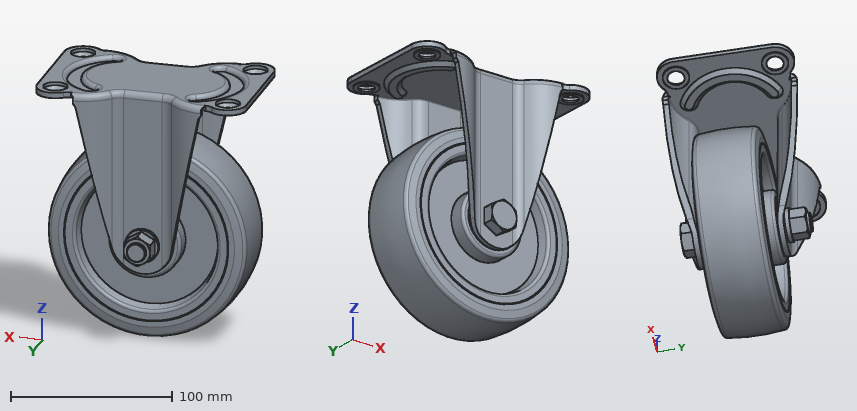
import cadquery as cq
import math


PLATE_LENGTH = 135.0
PLATE_WIDTH = 86.1
OVERALL_HEIGHT = 165
SHEET = 3.6
AXLE_DROP = 100.0
WHEEL_RADIUS = OVERALL_HEIGHT - AXLE_DROP

EAR_RADIUS = 11.9
EAR_X = PLATE_LENGTH / 2 - EAR_RADIUS
EAR_Y = PLATE_WIDTH / 2 - EAR_RADIUS
NECK_Y = 38.6
NECK_FILLET = 7.0
PLATE_ROOT_X = 33.0
PLATE_ROOT_Y = 33.0

HOLE_RADIUS = 5.3
DIMPLE_RADIUS = 7.6
DIMPLE_WALL = 2.1
DIMPLE_DEPTH = 4.6
DIMPLE_COLLAR_RADIUS = 8.2

GROOVE_CENTRE_X = 21.6
GROOVE_ARC_RADIUS = 29.7
GROOVE_HALF_ANGLE = 64.5
GROOVE_WIDTH = 8.5
GROOVE_DEPTH = 3.3
GROOVE_LIP_ROUND = 3.1
BEAD_WIDTH = 10.9
BEAD_HEIGHT = 2.8
BEAD_SLOPE = 45
BLANK_MARGIN = 0.8

LEG_INNER_Y = 25.0
LEG_OUTER_Y = LEG_INNER_Y + SHEET
LEG_FLAT_X = 12.4
LEG_HOLLOW_RADIUS = 9.0
LEG_WING_RADIUS = 32.3
LEG_BEND_ANGLE = math.radians(48)
LEG_END_RADIUS = 19.1
LEG_TAPER = math.radians(12.3)
LEG_TOP_BEND = 4.1
SHOULDER_X = 41.2
SHOULDER_FLARE = 2.1
SHOULDER_BOTTOM = 6.0
TAPER_TOP = 8.2

TYRE_HALF_WIDTH = 21.0
TREAD_HALF_WIDTH = 17.3
TREAD_EDGE_RADIUS = 63.9
SHOULDER_ROUND_Y = 19.8
SHOULDER_ROUND_RADIUS = 61.9
SHOULDER_ROUND = 2.6
SIDEWALL_RADIUS = 56.8
SEAM_GROOVE_RADIUS = 52.8
SEAM_GROOVE_WIDTH = 0.7
SEAM_GROOVE_DEPTH = 0.3
RIM_FILLET = 2.0
RIM_INNER_RADIUS = 45.7
WEB_OUTER_RADIUS = 44.0
WEB_HALF_WIDTH = 13.2
HUB_RADIUS = 23.3
HUB_HALF_WIDTH = 24.6
HUB_PAD_RADIUS = 18.8
HUB_FILLET = 2.0

BOLT_RADIUS = 6.1
BOLT_TIP_Y = 44.0
BOLT_TIP_CHAMFER = 0.5
HEAD_ACROSS_FLATS = 19.0
HEAD_HEIGHT = 8.2
WASHER_RADIUS = 10.7
WASHER_THICKNESS = 2.8
NUT_ACROSS_FLATS = 17.0
NUT_HEIGHT = 10.4
HEX_CHAMFER_SLOPE = math.radians(30)


def y_cylinder(radius, y_start, y_end):
    """Cylinder on the axle line between two Y positions."""
    origin = (0, y_start, -AXLE_DROP)
    return cq.Workplane("XZ", origin=origin).circle(radius).extrude(y_start - y_end)



def leg_plan(inset, bottom, top):
    """Waisted plan of the two legs, shrunk by inset, as a solid block between two heights."""
    hollow_radius = LEG_HOLLOW_RADIUS + inset
    wing_radius = LEG_WING_RADIUS - inset
    hollow_y = LEG_OUTER_Y + LEG_HOLLOW_RADIUS
    centre_distance = LEG_HOLLOW_RADIUS + LEG_WING_RADIUS
    wing_x = LEG_FLAT_X + centre_distance * math.sin(LEG_BEND_ANGLE)
    wing_y = hollow_y - centre_distance * math.cos(LEG_BEND_ANGLE)

    def on_hollow(angle):
        return (LEG_FLAT_X + hollow_radius * math.sin(angle), hollow_y - hollow_radius * math.cos(angle))

    def on_wing(angle):
        return (wing_x - wing_radius * math.sin(angle), wing_y + wing_radius * math.cos(angle))

    quarter = (
        cq.Workplane("XY", origin=(0, 0, bottom))
        .moveTo(0, 0)
        .lineTo(0, LEG_OUTER_Y - inset)
        .lineTo(*on_hollow(0))
        .threePointArc(on_hollow(LEG_BEND_ANGLE / 2), on_hollow(LEG_BEND_ANGLE))
        .threePointArc(on_wing(LEG_BEND_ANGLE / 2), on_wing(0))
        .lineTo(wing_x, 0)
        .close()
        .extrude(top - bottom)
    )
    half = quarter.union(quarter.mirror("YZ"))
    return half.union(half.mirror("XZ")).clean()


def leg_silhouette():
    """Front outline of the legs: flared shoulders, straight taper, round end about the axle."""
    tangent_x = LEG_END_RADIUS * math.cos(LEG_TAPER)
    tangent_z = -AXLE_DROP - LEG_END_RADIUS * math.sin(LEG_TAPER)
    taper_top_x = tangent_x + (-TAPER_TOP - tangent_z) * math.tan(LEG_TAPER)
    right_side = [
        (tangent_x, tangent_z),
        (taper_top_x, -TAPER_TOP),
        (SHOULDER_X, -SHOULDER_BOTTOM),
        (SHOULDER_X, -SHOULDER_FLARE),
        (SHOULDER_X + SHOULDER_FLARE, 0),
    ]
    left_side = [(-x, z) for x, z in reversed(right_side)]
    return (
        cq.Workplane("XZ")
        .polyline(right_side + left_side)
        .threePointArc((0, -AXLE_DROP - LEG_END_RADIUS), right_side[0])
        .close()
        .extrude(PLATE_WIDTH / 2, both=True)
    )


def legs():
    """Both legs and the flat bridge between them, bent from one sheet."""
    bottom = -AXLE_DROP - LEG_END_RADIUS
    outside = leg_plan(0, bottom, 0)
    outside = outside.faces(">Z").edges("not(<X or >X)").fillet(LEG_TOP_BEND)
    inside = leg_plan(SHEET, bottom, -SHEET)
    inside = inside.faces(">Z").edges("not(<X or >X)").fillet(LEG_TOP_BEND - SHEET)
    return outside.cut(inside).intersect(leg_silhouette())


def end_plate():
    """Plate at the +X end with two round ears blended into a narrower neck."""
    fillet_y = NECK_Y + NECK_FILLET
    reach = EAR_RADIUS + NECK_FILLET
    fillet_x = EAR_X - math.sqrt(reach ** 2 - (fillet_y - EAR_Y) ** 2)
    touch_x = EAR_X + (fillet_x - EAR_X) * EAR_RADIUS / reach
    touch_y = EAR_Y + (fillet_y - EAR_Y) * EAR_RADIUS / reach
    diagonal = EAR_RADIUS / math.sqrt(2)
    half = (
        cq.Workplane("XY")
        .moveTo(PLATE_ROOT_X, 0)
        .lineTo(PLATE_ROOT_X, PLATE_ROOT_Y)
        .lineTo(fillet_x, NECK_Y)
        .radiusArc((touch_x, touch_y), -NECK_FILLET)
        .threePointArc((EAR_X + diagonal, EAR_Y + diagonal), (EAR_X + EAR_RADIUS, EAR_Y))
        .lineTo(EAR_X + EAR_RADIUS, 0)
        .close()
        .extrude(-SHEET)
    )
    return half.union(half.mirror("XZ"))


def groove_shape(width, z):
    """Outline of the curved slot at the +X end at height z."""
    half_angle = math.radians(GROOVE_HALF_ANGLE)

    def polar(radius, angle):
        return (GROOVE_CENTRE_X + radius * math.cos(angle), radius * math.sin(angle))

    outer = GROOVE_ARC_RADIUS + width / 2
    inner = GROOVE_ARC_RADIUS - width / 2
    cap_radius = width / 2
    start_cap = polar(GROOVE_ARC_RADIUS, -half_angle)
    end_cap = polar(GROOVE_ARC_RADIUS, half_angle)
    start_tip = (
        start_cap[0] - cap_radius * math.sin(half_angle),
        start_cap[1] - cap_radius * math.cos(half_angle),
    )
    end_tip = (start_tip[0], -start_tip[1])
    return (
        cq.Workplane("XY", origin=(0, 0, z))
        .moveTo(*polar(outer, -half_angle))
        .threePointArc(polar(outer, 0), polar(outer, half_angle))
        .threePointArc(end_tip, polar(inner, half_angle))
        .threePointArc(polar(inner, 0), polar(inner, -half_angle))
        .threePointArc(start_tip, polar(outer, -half_angle))
        .close()
    )


def groove_cutter():
    """Slot with a rounded lip, made as what is left of a blank around a lipped slab."""
    reach = GROOVE_WIDTH / 2 + GROOVE_LIP_ROUND + BLANK_MARGIN
    blank = groove_shape(2 * reach, 0).extrude(-GROOVE_DEPTH)
    slot = groove_shape(GROOVE_WIDTH, 0).extrude(-GROOVE_DEPTH)
    outer_lip = GROOVE_CENTRE_X + GROOVE_ARC_RADIUS + GROOVE_WIDTH / 2
    lip_start = GROOVE_CENTRE_X + GROOVE_ARC_RADIUS * math.cos(math.radians(GROOVE_HALF_ANGLE))
    lip_region = cq.selectors.BoxSelector(
        (lip_start, -outer_lip, -BLANK_MARGIN),
        (outer_lip + BLANK_MARGIN, outer_lip, BLANK_MARGIN),
        boundingbox=True,
    )
    lipped_slab = blank.cut(slot).edges(lip_region).fillet(GROOVE_LIP_ROUND)
    return blank.cut(lipped_slab)


def press_grooves(body):
    """Press both grooves: a sloped bead below the sheet and a round-lipped slot in its top."""
    bead = groove_shape(BEAD_WIDTH, -SHEET).extrude(-BEAD_HEIGHT, taper=BEAD_SLOPE)
    slot = groove_cutter()
    body = body.union(bead).union(bead.mirror("YZ"))
    return body.cut(slot).cut(slot.mirror("YZ"))


def dimple_hole():
    """Cutter for one screw hole: straight recess over a cone that opens below the collar."""
    profile = [
        (0, 0),
        (DIMPLE_RADIUS, 0),
        (DIMPLE_RADIUS, -DIMPLE_WALL),
        (HOLE_RADIUS, -DIMPLE_DEPTH),
        (0, -DIMPLE_DEPTH),
    ]
    return cq.Workplane("XZ").polyline(profile).close().revolve(360, (0, 0, 0), (0, 1, 0))


def make_bracket():
    body = legs()
    plate = end_plate()
    body = body.union(plate).union(plate.mirror("YZ"))
    body = press_grooves(body)

    ears = [(sx * EAR_X, sy * EAR_Y) for sx in (-1, 1) for sy in (-1, 1)]
    for x, y in ears:
        collar = cq.Workplane("XY", origin=(x, y, -SHEET)).circle(DIMPLE_COLLAR_RADIUS)
        body = body.union(collar.extrude(SHEET - DIMPLE_DEPTH))
        body = body.cut(dimple_hole().translate((x, y, 0)))
    return body.cut(y_cylinder(BOLT_RADIUS, -LEG_OUTER_Y, LEG_OUTER_Y))



def make_wheel():
    """Crowned tyre, dished web and hub, revolved about the axle."""
    groove_outer = SEAM_GROOVE_RADIUS + SEAM_GROOVE_WIDTH / 2
    groove_inner = SEAM_GROOVE_RADIUS - SEAM_GROOVE_WIDTH / 2
    groove_y = TYRE_HALF_WIDTH - SEAM_GROOVE_DEPTH
    half_profile = (
        cq.Workplane("XY")
        .moveTo(BOLT_RADIUS, 0)
        .lineTo(BOLT_RADIUS, LEG_INNER_Y)
        .lineTo(HUB_PAD_RADIUS, LEG_INNER_Y)
        .lineTo(HUB_PAD_RADIUS, HUB_HALF_WIDTH)
        .lineTo(HUB_RADIUS - HUB_FILLET, HUB_HALF_WIDTH)
        .radiusArc((HUB_RADIUS, HUB_HALF_WIDTH - HUB_FILLET), HUB_FILLET)
        .lineTo(HUB_RADIUS, WEB_HALF_WIDTH)
        .lineTo(WEB_OUTER_RADIUS, WEB_HALF_WIDTH)
        .lineTo(RIM_INNER_RADIUS, TYRE_HALF_WIDTH - RIM_FILLET)
        .radiusArc((RIM_INNER_RADIUS + RIM_FILLET, TYRE_HALF_WIDTH), RIM_FILLET)
        .lineTo(groove_inner, TYRE_HALF_WIDTH)
        .lineTo(SEAM_GROOVE_RADIUS, groove_y)
        .lineTo(groove_outer, TYRE_HALF_WIDTH)
        .lineTo(SIDEWALL_RADIUS, TYRE_HALF_WIDTH)
        .lineTo(SHOULDER_ROUND_RADIUS, SHOULDER_ROUND_Y)
        .radiusArc((TREAD_EDGE_RADIUS, TREAD_HALF_WIDTH), SHOULDER_ROUND)
        .lineTo(TREAD_EDGE_RADIUS, 0)
        .close()
    )
    crown_profile = (
        cq.Workplane("XY")
        .moveTo(TREAD_EDGE_RADIUS, -TREAD_HALF_WIDTH)
        .threePointArc((WHEEL_RADIUS, 0), (TREAD_EDGE_RADIUS, TREAD_HALF_WIDTH))
        .close()
    )
    half = half_profile.revolve(360, (0, 0, 0), (0, 1, 0))
    crown = crown_profile.revolve(360, (0, 0, 0), (0, 1, 0))
    return half.union(half.mirror("XZ")).union(crown).translate((0, 0, -AXLE_DROP))



def hexagon(across_flats, y_start, y_end):
    """Hexagon on the axle with two upright flats; corners are chamfered at y_end."""
    corner_radius = across_flats / math.sqrt(3)
    flat_radius = across_flats / 2
    height = abs(y_end - y_start)
    chamfer = (corner_radius - flat_radius) * math.tan(HEX_CHAMFER_SLOPE)
    prism = (
        cq.Workplane("XY")
        .transformed(rotate=(0, 0, 90))
        .polygon(6, 2 * corner_radius)
        .extrude(height)
    )
    profile = [
        (0, 0),
        (corner_radius, 0),
        (corner_radius, height - chamfer),
        (flat_radius, height),
        (0, height),
    ]
    envelope = cq.Workplane("XZ").polyline(profile).close().revolve(360, (0, 0, 0), (0, 1, 0))
    turn = -90 if y_end > y_start else 90
    return (
        prism.intersect(envelope)
        .rotate((0, 0, 0), (1, 0, 0), turn)
        .translate((0, y_start, -AXLE_DROP))
    )


def make_axle_bolt():
    washer_y = LEG_OUTER_Y + WASHER_THICKNESS
    shank = y_cylinder(BOLT_RADIUS, -LEG_OUTER_Y, BOLT_TIP_Y).faces(">Y").chamfer(BOLT_TIP_CHAMFER)
    head = hexagon(HEAD_ACROSS_FLATS, -LEG_OUTER_Y, -LEG_OUTER_Y - HEAD_HEIGHT)
    washer = y_cylinder(WASHER_RADIUS, LEG_OUTER_Y, washer_y)
    nut = hexagon(NUT_ACROSS_FLATS, washer_y, washer_y + NUT_HEIGHT)
    return shank.union(head).union(washer).union(nut)


bracket = make_bracket()
wheel = make_wheel()
axle_bolt = make_axle_bolt()

result = cq.Compound.makeCompound([bracket.solids().val(), wheel.solids().val(), axle_bolt.solids().val()])